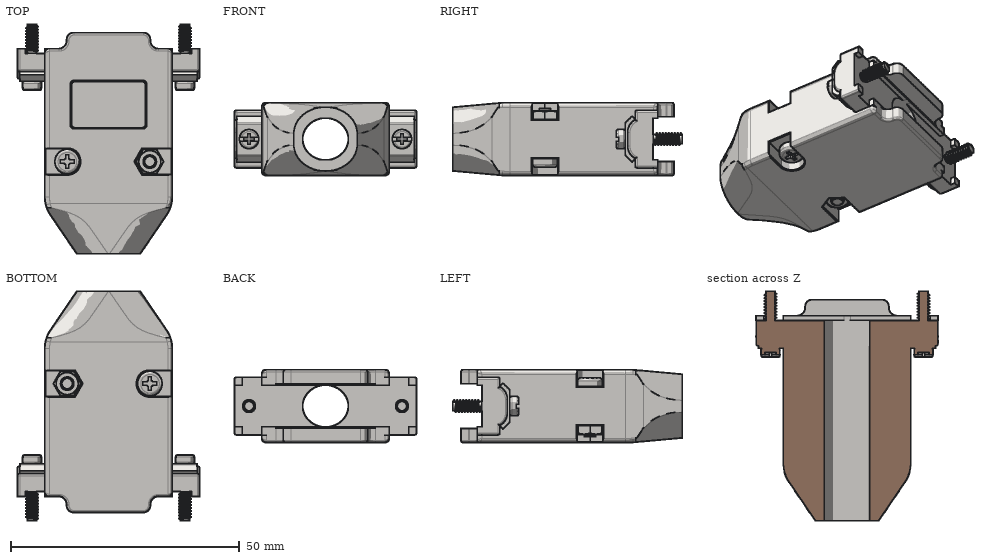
import cadquery as cq
import math


BODY_HALF_WIDTH = 14.0
BODY_HALF_HEIGHT = 8.0
BODY_FRONT = 44.95
SIDE_FILLET = 1.0
FRONT_FILLET = 0.5

TONGUE_FRONT = 48.5
TONGUE_HALF_WIDTH = 9.2
TONGUE_CORNER_RADIUS = 1.6
TONGUE_ROOT_RADIUS = 1.7
TONGUE_GAP_HALF_HEIGHT = 4.9
FLANGE_SLOT_HALF_HEIGHT = 4.55
FLANGE_SEAT = 43.9

NOZZLE_HALF_WIDTH = 6.95
NOZZLE_HALF_HEIGHT = 7.0
SIDE_TAPER_START = 10.35
TOP_TAPER_START = 11.05
SHOULDER_RADIUS = 7.05
CORNER_BLEND_END = 10.15
CORNER_BLEND_STEPS = 6
TIP_CORNER_WIDTH = 6.85
TIP_CORNER_HEIGHT = 5.8
CORNER_WIDTH_POWER = 8
CORNER_HEIGHT_POWER = 3
BORE_WIDTH = 9.95
BORE_HEIGHT = 9.15

LABEL_WIDTH = 16.8
LABEL_BACK = 27.35
LABEL_FRONT = 38.05
LABEL_CORNER_RADIUS = 1.0
LABEL_DEPTH = 0.3
LABEL_DRAFT = 45

EAR_SPAN = 39.9
EAR_HALF_SPAN = EAR_SPAN / 2
EAR_HALF_HEIGHT = 6.35
EAR_BACK = 39.95
EAR_FILLET = 0.5
EAR_WALL_INNER = 18.2
CHEEK_BACK = 38.35
CHEEK_THICKNESS = 0.55
CHEEK_HALF_HEIGHT = 4.25
CHEEK_FLAT_HALF_HEIGHT = 1.5
RIM_FILLET = 0.45
PAD_BACK = 37.8
PAD_RIDGE = 39.3
PAD_ROOT_HALF_HEIGHT = 4.4
PAD_RIDGE_HALF_HEIGHT = 5.05
PAD_FLAT_HALF_HEIGHT = 3.5
PAD_FILLET = 0.6

JACK_X = 16.75
JACK_TIP = 50.3
JACK_ROOT_DIAMETER = 2.05
JACK_THREAD_DIAMETER = 2.75
JACK_PITCH = 0.65
JACK_THREAD_BASE = 0.6
JACK_HEAD_DIAMETER = 4.25
JACK_HEAD_HEIGHT = 1.9
JACK_HEAD_FILLET = 0.4
JACK_SLOT_WIDTH = 0.85
JACK_SLOT_DEPTH = 0.5
JACK_CROSS_LENGTH = 2.35
JACK_CROSS_WIDTH = 0.6
JACK_CROSS_DEPTH = 1.0

CLAMP_X = 9.05
CLAMP_Y = 20.2
POCKET_WIDTH = 5.55
POCKET_DEPTH = 3.65
POCKET_LIP = 0.2
LIP_ANGLE = 45
CLAMP_HEAD_DIAMETER = 5.4
CLAMP_HEAD_HEIGHT = 1.85
CLAMP_HEAD_FILLET = 0.65
CLAMP_CROSS_LENGTH = 3.0
CLAMP_CROSS_WIDTH = 0.7
CLAMP_CROSS_CORE = 1.5
CLAMP_CROSS_DEPTH = 0.9
NUT_WIDTH = 5.25
NUT_HEIGHT = 1.9
NUT_FACE_DIAMETER = 4.85
NUT_BORE_DIAMETER = 2.9
CLAMP_TIP_DIAMETER = 2.6
CLAMP_TIP_PROTRUSION = 0.5
CLAMP_TIP_CHAMFER = 0.15

POCKET_FLOOR = BODY_HALF_HEIGHT - POCKET_DEPTH
HEXAGON_CORNER_RATIO = 2 / math.sqrt(3)


def box(x_range, y_range, z_range):
    """Box between the given lower and upper limits on each axis."""
    size = [high - low for low, high in (x_range, y_range, z_range)]
    corner = (x_range[0], y_range[0], z_range[0])
    return cq.Workplane("XY").box(*size, centered=False).translate(corner)


def both_sides(shape):
    """The shape together with its mirror image across X = 0."""
    return shape.union(shape.mirror("YZ"))


def top_half_height(y):
    """Half height on the flat tapered top of the nozzle."""
    return NOZZLE_HALF_HEIGHT + (BODY_HALF_HEIGHT - NOZZLE_HALF_HEIGHT) * y / TOP_TAPER_START


TAPER_ANGLE = math.atan((BODY_HALF_WIDTH - NOZZLE_HALF_WIDTH) / SIDE_TAPER_START)
SHOULDER_TANGENT = SHOULDER_RADIUS * math.tan(TAPER_ANGLE / 2)
SHOULDER_FRONT = SIDE_TAPER_START + SHOULDER_TANGENT
SHOULDER_BACK = SIDE_TAPER_START - SHOULDER_TANGENT * math.cos(TAPER_ANGLE)


def side_half_width(y):
    """Half width on the flat side taper, and on the rounded shoulder in front of it."""
    if y < SHOULDER_BACK:
        return NOZZLE_HALF_WIDTH + (BODY_HALF_WIDTH - NOZZLE_HALF_WIDTH) * y / SIDE_TAPER_START
    drop = SHOULDER_FRONT - y
    return BODY_HALF_WIDTH - SHOULDER_RADIUS + math.sqrt(SHOULDER_RADIUS**2 - drop**2)


def body_plan():
    """Half outline of the body in plan, closed along X = 0 and extruded in Z."""
    diagonal = math.sqrt(0.5)
    shoulder_mid = (SHOULDER_BACK + SHOULDER_FRONT) / 2
    corner_x = TONGUE_HALF_WIDTH - TONGUE_CORNER_RADIUS
    corner_y = TONGUE_FRONT - TONGUE_CORNER_RADIUS
    root_x = TONGUE_HALF_WIDTH + TONGUE_ROOT_RADIUS
    root_y = BODY_FRONT + TONGUE_ROOT_RADIUS
    corner_mid = TONGUE_CORNER_RADIUS * diagonal
    root_mid = TONGUE_ROOT_RADIUS * diagonal
    return (
        cq.Workplane("XY")
        .lineTo(NOZZLE_HALF_WIDTH, 0)
        .lineTo(side_half_width(SHOULDER_BACK), SHOULDER_BACK)
        .threePointArc((side_half_width(shoulder_mid), shoulder_mid), (BODY_HALF_WIDTH, SHOULDER_FRONT))
        .lineTo(BODY_HALF_WIDTH, BODY_FRONT)
        .lineTo(root_x, BODY_FRONT)
        .threePointArc((root_x - root_mid, root_y - root_mid), (TONGUE_HALF_WIDTH, root_y))
        .lineTo(TONGUE_HALF_WIDTH, corner_y)
        .threePointArc((corner_x + corner_mid, corner_y + corner_mid), (corner_x, TONGUE_FRONT))
        .lineTo(0, TONGUE_FRONT)
        .close()
        .extrude(BODY_HALF_HEIGHT, both=True)
    )


def make_body():
    """Hood body and tapered nozzle, with rounded sides and front edges."""
    body = both_sides(body_plan())
    side_profile = (
        cq.Workplane("YZ")
        .moveTo(0, NOZZLE_HALF_HEIGHT)
        .lineTo(TOP_TAPER_START, BODY_HALF_HEIGHT)
        .lineTo(TONGUE_FRONT, BODY_HALF_HEIGHT)
        .lineTo(TONGUE_FRONT, -BODY_HALF_HEIGHT)
        .lineTo(TOP_TAPER_START, -BODY_HALF_HEIGHT)
        .lineTo(0, -NOZZLE_HALF_HEIGHT)
        .close()
        .extrude(BODY_HALF_WIDTH, both=True)
    )
    body = body.intersect(side_profile)
    front_zone = cq.selectors.BoxSelector(
        (-BODY_HALF_WIDTH, BODY_FRONT - 0.05, -BODY_HALF_HEIGHT - 0.05),
        (BODY_HALF_WIDTH, TONGUE_FRONT + 0.05, BODY_HALF_HEIGHT + 0.05),
    )
    body = body.faces(">Z or <Z").edges(front_zone).fillet(FRONT_FILLET)
    edge_reach = 0.75
    side_edges = cq.Workplane()
    for x in (-BODY_HALF_WIDTH, BODY_HALF_WIDTH):
        for z in (-BODY_HALF_HEIGHT, BODY_HALF_HEIGHT):
            side_zone = cq.selectors.BoxSelector(
                (x - edge_reach, SHOULDER_FRONT, z - edge_reach),
                (x + edge_reach, BODY_FRONT - 2 * FRONT_FILLET, z + edge_reach),
            )
            side_edges = side_edges.add(body.edges(side_zone))
    return body.newObject(side_edges.vals()).fillet(SIDE_FILLET)


def corner_size(tip_size, power, y):
    """Corner size at distance y, shrinking from the tip size to the body's side fillet."""
    return tip_size - (tip_size - SIDE_FILLET) * (y / CORNER_BLEND_END) ** power


def corner_waste(y):
    """Section of the material outside the elliptical nozzle corner at +X +Z."""
    corner_width = corner_size(TIP_CORNER_WIDTH, CORNER_WIDTH_POWER, y)
    corner_height = corner_size(TIP_CORNER_HEIGHT, CORNER_HEIGHT_POWER, y)
    side_x = side_half_width(y)
    top_z = top_half_height(y)
    flat_x = side_x - corner_width
    flat_z = top_z - corner_height
    outside = 1.0
    corner = cq.Edge.makeEllipse(
        corner_width,
        corner_height,
        cq.Vector(flat_x, y, flat_z),
        cq.Vector(0, -1, 0),
        cq.Vector(1, 0, 0),
        0,
        90,
    )
    surround = cq.Wire.makePolygon(
        [
            corner.endPoint(),
            cq.Vector(flat_x, y, top_z + outside),
            cq.Vector(side_x + outside, y, top_z + outside),
            cq.Vector(side_x + outside, y, flat_z),
            corner.startPoint(),
        ]
    )
    return cq.Wire.assembleEdges([corner] + surround.Edges())


def make_corner_waste():
    """Waste around the four nozzle corners, which grow rounder towards the cable end."""
    distances = [CORNER_BLEND_END * step / CORNER_BLEND_STEPS for step in range(CORNER_BLEND_STEPS + 1)]
    sections = [corner_waste(y) for y in distances]
    waste = both_sides(cq.Workplane(obj=cq.Solid.makeLoft(sections)))
    return waste.union(waste.mirror("XY"))


def make_ear():
    """Mounting ear on the +X side, with outer cheek, screw pad and flange notch."""
    ear = box((0, EAR_HALF_SPAN), (EAR_BACK, BODY_FRONT), (-EAR_HALF_HEIGHT, EAR_HALF_HEIGHT))
    ear = ear.edges("|X and <Y").fillet(EAR_FILLET)
    overlap = 1.0
    half_cheek = (
        cq.Workplane("YZ", origin=(EAR_HALF_SPAN - CHEEK_THICKNESS, 0, 0))
        .moveTo(CHEEK_BACK, 0)
        .lineTo(CHEEK_BACK, CHEEK_FLAT_HALF_HEIGHT)
        .tangentArcPoint((EAR_BACK, CHEEK_HALF_HEIGHT), relative=False)
        .lineTo(EAR_BACK + overlap, CHEEK_HALF_HEIGHT)
        .lineTo(EAR_BACK + overlap, 0)
        .close()
        .extrude(CHEEK_THICKNESS)
    )
    ear = ear.union(half_cheek).union(half_cheek.mirror("XY"))
    ear = ear.faces(">X").edges("not >Y").fillet(RIM_FILLET)
    pad = (
        cq.Workplane("YZ")
        .moveTo(EAR_BACK + overlap, -PAD_ROOT_HALF_HEIGHT)
        .lineTo(EAR_BACK, -PAD_ROOT_HALF_HEIGHT)
        .lineTo(PAD_RIDGE, -PAD_RIDGE_HALF_HEIGHT)
        .lineTo(PAD_BACK, -PAD_FLAT_HALF_HEIGHT)
        .lineTo(PAD_BACK, PAD_FLAT_HALF_HEIGHT)
        .lineTo(PAD_RIDGE, PAD_RIDGE_HALF_HEIGHT)
        .lineTo(EAR_BACK, PAD_ROOT_HALF_HEIGHT)
        .lineTo(EAR_BACK + overlap, PAD_ROOT_HALF_HEIGHT)
        .close()
        .extrude(EAR_HALF_SPAN - CHEEK_THICKNESS)
        .edges("|X and <Y")
        .fillet(PAD_FILLET)
    )
    notch = box(
        (BODY_HALF_WIDTH, EAR_WALL_INNER),
        (FLANGE_SEAT, BODY_FRONT),
        (-EAR_HALF_HEIGHT, EAR_HALF_HEIGHT),
    )
    return ear.union(pad).cut(notch)


def make_jack_screw():
    """Jack screw on the +X ear, with a slotted cross-recess head and a helical thread."""
    head_back = PAD_BACK - JACK_HEAD_HEIGHT
    axis = cq.Workplane("XZ", origin=(JACK_X, 0, 0))
    head = axis.workplane(offset=-PAD_BACK).circle(JACK_HEAD_DIAMETER / 2).extrude(JACK_HEAD_HEIGHT)
    head = head.faces("|Y").edges().fillet(JACK_HEAD_FILLET)
    face = axis.workplane(offset=-head_back)
    head = head.cut(face.rect(JACK_HEAD_DIAMETER, JACK_SLOT_WIDTH).extrude(-JACK_SLOT_DEPTH))
    for size in ((JACK_CROSS_LENGTH, JACK_CROSS_WIDTH), (JACK_CROSS_WIDTH, JACK_CROSS_LENGTH)):
        head = head.cut(face.rect(*size).extrude(-JACK_CROSS_DEPTH))
    root_radius = JACK_ROOT_DIAMETER / 2
    shank = axis.workplane(offset=-JACK_TIP).circle(root_radius).extrude(JACK_TIP - PAD_BACK)
    return head.union(shank).union(make_thread())


def make_thread():
    """Helical thread ridge with a triangular section, wound round the jack screw."""
    root_radius = JACK_ROOT_DIAMETER / 2
    crest_radius = JACK_THREAD_DIAMETER / 2
    sink = 0.1
    half_base = JACK_THREAD_BASE / 2
    length = JACK_TIP - FLANGE_SEAT - 2 * half_base
    helix = cq.Wire.makeHelix(JACK_PITCH, length, root_radius)
    ridge = (
        cq.Workplane("XZ")
        .moveTo(root_radius - sink, -half_base)
        .lineTo(crest_radius, 0)
        .lineTo(root_radius - sink, half_base)
        .close()
        .sweep(cq.Workplane(obj=helix), isFrenet=True)
    )
    return ridge.rotate((0, 0, 0), (1, 0, 0), -90).translate((JACK_X, FLANGE_SEAT + half_base, 0))


def sink_pockets(width, depth, draft):
    """Head and nut pockets sunk from the top face, each running out through its side."""
    reach = BODY_HALF_WIDTH + POCKET_LIP - CLAMP_X
    slot_x = CLAMP_X + reach / 2
    top = cq.Workplane("XY", origin=(0, CLAMP_Y, BODY_HALF_HEIGHT))
    head_end = top.center(-CLAMP_X, 0).circle(width / 2).extrude(-depth, taper=draft)
    nut_end = top.center(CLAMP_X, 0).polygon(6, width * HEXAGON_CORNER_RATIO).extrude(-depth, taper=draft)
    slot = top.center(slot_x, 0).rect(reach, width).extrude(-depth, taper=draft)
    return head_end.union(nut_end).union(both_sides(slot))


def make_clamp_pockets():
    """Round-ended head pocket at -X and hexagonal nut pocket at +X, with chamfered openings."""
    lip_width = POCKET_WIDTH + 2 * POCKET_LIP
    walls = sink_pockets(POCKET_WIDTH, POCKET_DEPTH, 0)
    top_lip = sink_pockets(lip_width, POCKET_LIP, LIP_ANGLE)
    side_lip = (
        cq.Workplane("YZ", origin=(BODY_HALF_WIDTH, CLAMP_Y, BODY_HALF_HEIGHT))
        .rect(lip_width, 2 * (POCKET_DEPTH + POCKET_LIP))
        .extrude(-POCKET_LIP, taper=LIP_ANGLE)
    )
    return walls.union(top_lip).union(both_sides(side_lip))


def make_clamp_head():
    """Domed clamp screw head with a cross recess."""
    floor = cq.Workplane("XY", origin=(-CLAMP_X, CLAMP_Y, POCKET_FLOOR))
    head = floor.circle(CLAMP_HEAD_DIAMETER / 2).extrude(CLAMP_HEAD_HEIGHT)
    head = head.faces(">Z").edges().fillet(CLAMP_HEAD_FILLET)
    face = floor.workplane(offset=CLAMP_HEAD_HEIGHT)
    cross = face.circle(CLAMP_CROSS_CORE / 2).extrude(-CLAMP_CROSS_DEPTH)
    for size in ((CLAMP_CROSS_LENGTH, CLAMP_CROSS_WIDTH), (CLAMP_CROSS_WIDTH, CLAMP_CROSS_LENGTH)):
        cross = cross.union(face.rect(*size).extrude(-CLAMP_CROSS_DEPTH))
    return head.cut(cross)


def make_clamp_nut():
    """Hexagonal nut with chamfered corners and the screw tip standing out of it."""
    floor = cq.Workplane("XY", origin=(CLAMP_X, CLAMP_Y, POCKET_FLOOR))
    nut = floor.polygon(6, NUT_WIDTH * HEXAGON_CORNER_RATIO).extrude(NUT_HEIGHT)
    corner_radius = NUT_WIDTH * HEXAGON_CORNER_RATIO / 2
    chamfer = corner_radius - NUT_FACE_DIAMETER / 2
    turned = floor.circle(corner_radius).extrude(NUT_HEIGHT)
    turned = turned.faces(">Z").edges().chamfer(chamfer / 2, chamfer)
    bore = floor.circle(NUT_BORE_DIAMETER / 2).extrude(NUT_HEIGHT)
    tip = floor.circle(CLAMP_TIP_DIAMETER / 2).extrude(NUT_HEIGHT + CLAMP_TIP_PROTRUSION)
    tip = tip.faces(">Z").edges().chamfer(CLAMP_TIP_CHAMFER)
    return nut.intersect(turned).cut(bore).union(tip)


def both_halves(shape):
    """The shape together with its copy turned half a turn about the Y axis."""
    return shape.union(shape.rotate((0, 0, 0), (0, 1, 0), 180))


def make_label_recess():
    """Shallow rounded recess with sloping walls in the top face."""
    return (
        cq.Workplane("XY", origin=(0, (LABEL_BACK + LABEL_FRONT) / 2, BODY_HALF_HEIGHT))
        .sketch()
        .rect(LABEL_WIDTH, LABEL_FRONT - LABEL_BACK)
        .vertices()
        .fillet(LABEL_CORNER_RADIUS)
        .finalize()
        .extrude(-LABEL_DEPTH, taper=LABEL_DRAFT)
    )


hood = make_body().cut(make_corner_waste()).union(both_sides(make_ear()))

span = (-EAR_HALF_SPAN, EAR_HALF_SPAN)
hood = hood.cut(
    box(span, (BODY_FRONT, TONGUE_FRONT), (-TONGUE_GAP_HALF_HEIGHT, TONGUE_GAP_HALF_HEIGHT))
)
hood = hood.cut(
    box(span, (FLANGE_SEAT, BODY_FRONT), (-FLANGE_SLOT_HALF_HEIGHT, FLANGE_SLOT_HALF_HEIGHT))
)

cable_bore = cq.Workplane("XZ").ellipse(BORE_WIDTH / 2, BORE_HEIGHT / 2).extrude(-TONGUE_FRONT)
hood = hood.cut(cable_bore)
hood = hood.cut(make_label_recess())
hood = hood.cut(both_halves(make_clamp_pockets()))

hood = hood.union(both_halves(make_clamp_head()))
hood = hood.union(both_halves(make_clamp_nut()))
result = hood.union(both_sides(make_jack_screw()))